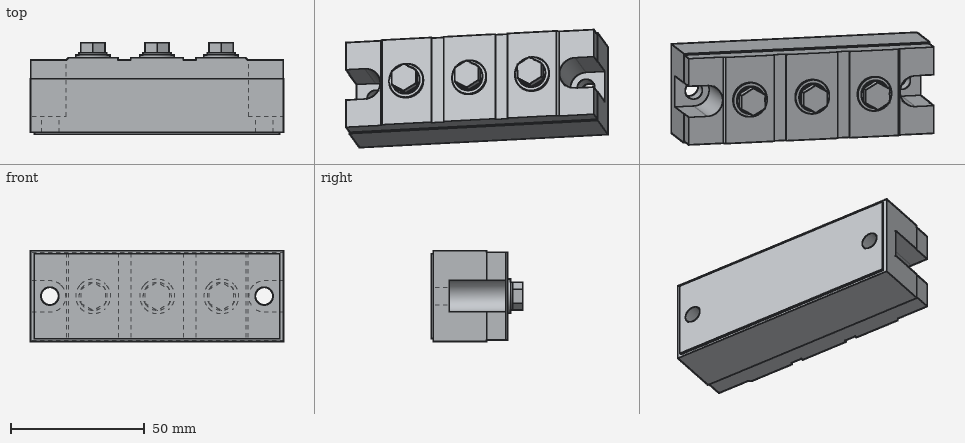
import cadquery as cq

length = 94.7
height = 34.0
lid_length = 94.4
lid_height = 32.9
plate_length = 91.7
plate_height = 31.7

plate_top = 0.8
body_top = 20.7
lid_top = 27.8
pad_top = 28.7
washer_top = 29.7
collar_top = 30.6
bolt_top = 34.3

centre_pad_half = 9.85
outer_pad_start = 14.5
outer_pad_end = 33.1
ramp_foot = 34.0

bolt_pitch = 24.0
washer_diameter = 13.0
hex_across_corners = 10.5
collar_diameter = hex_across_corners

hole_spacing = 80.1
hole_diameter = 6.5
slot_width = 11.7
slot_floor = 6.8


def plane_at(y):
    """Work plane at a Y level, facing +Y, with local x along -X and local y along Z."""
    return cq.Workplane(cq.Plane(origin=(0, y, 0), xDir=(-1, 0, 0), normal=(0, 1, 0)))


def block(size_x, size_z, start, end):
    return plane_at(start).rect(size_x, size_z).extrude(end - start)


def centre_pad():
    return block(2 * centre_pad_half, lid_height, lid_top, pad_top)


def outer_pad(side):
    """Pad with a square inner edge and a ramped outer edge."""
    outline = [
        (side * outer_pad_start, lid_top),
        (side * outer_pad_start, pad_top),
        (side * outer_pad_end, pad_top),
        (side * ramp_foot, lid_top),
    ]
    return cq.Workplane("XY").polyline(outline).close().extrude(lid_height / 2, both=True)


def terminal_bolt(x):
    """Washer, round collar and hexagonal head with corners pointing along Z."""
    washer = plane_at(pad_top).circle(washer_diameter / 2).extrude(washer_top - pad_top)
    collar = plane_at(washer_top).circle(collar_diameter / 2).extrude(collar_top - washer_top)
    head = (
        plane_at(collar_top)
        .transformed(rotate=(0, 0, 90))
        .polygon(6, hex_across_corners)
        .extrude(bolt_top - collar_top)
    )
    return washer.union(collar).union(head).translate((x, 0, 0))


def mounting_cut(side):
    """Through hole and a round-ended slot open at the end of the housing."""
    x = side * hole_spacing / 2
    reach = length / 2 - hole_spacing / 2
    depth = pad_top - slot_floor
    hole = plane_at(0).circle(hole_diameter / 2).extrude(pad_top).translate((x, 0, 0))
    round_end = plane_at(slot_floor).circle(slot_width / 2).extrude(depth).translate((x, 0, 0))
    opening = block(reach, slot_width, slot_floor, pad_top).translate((x + side * reach / 2, 0, 0))
    return hole.union(round_end).union(opening)


result = block(plate_length, plate_height, 0, plate_top)
result = result.union(block(length, height, plate_top, body_top))
result = result.union(block(lid_length, lid_height, body_top, lid_top))
result = result.union(centre_pad())

for side in (-1, 1):
    result = result.union(outer_pad(side))
    result = result.cut(mounting_cut(side))

for x in (-bolt_pitch, 0, bolt_pitch):
    result = result.union(terminal_bolt(x))